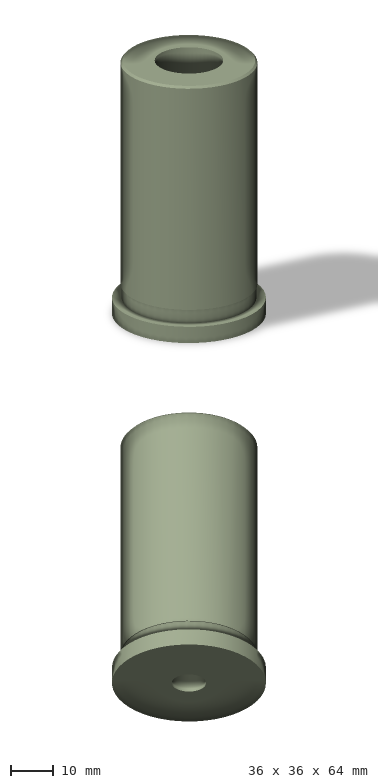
import cadquery as cq
import math

total_height = 64.0
body_diameter = 32.0

flange_diameter = 36.0
flange_height = 4.1
relief_diameter = 31.55
relief_height = 3.45

rim_chamfer_width = 0.5
rim_chamfer_height = 0.5

bore_diameter = 16.0
hole_diameter = 8.0
cone_angle = 90.0
hole_length = 8.0

body_radius = body_diameter / 2
flange_radius = flange_diameter / 2
relief_radius = relief_diameter / 2
bore_radius = bore_diameter / 2
hole_radius = hole_diameter / 2
relief_top = flange_height + relief_height
cone_height = (bore_radius - hole_radius) / math.tan(math.radians(cone_angle / 2))
cone_top = hole_length + cone_height

half_section = (
    cq.Workplane("XZ")
    .moveTo(hole_radius, 0)
    .lineTo(flange_radius, 0)
    .lineTo(flange_radius, flange_height)
    .lineTo(relief_radius, flange_height)
    .lineTo(relief_radius, relief_top)
    .lineTo(body_radius, relief_top)
    .lineTo(body_radius, total_height - rim_chamfer_height)
    .lineTo(body_radius - rim_chamfer_width, total_height)
    .lineTo(bore_radius, total_height)
    .lineTo(bore_radius, cone_top)
    .lineTo(hole_radius, hole_length)
    .close()
)
result = half_section.revolve(360, (0, 0, 0), (0, 1, 0))